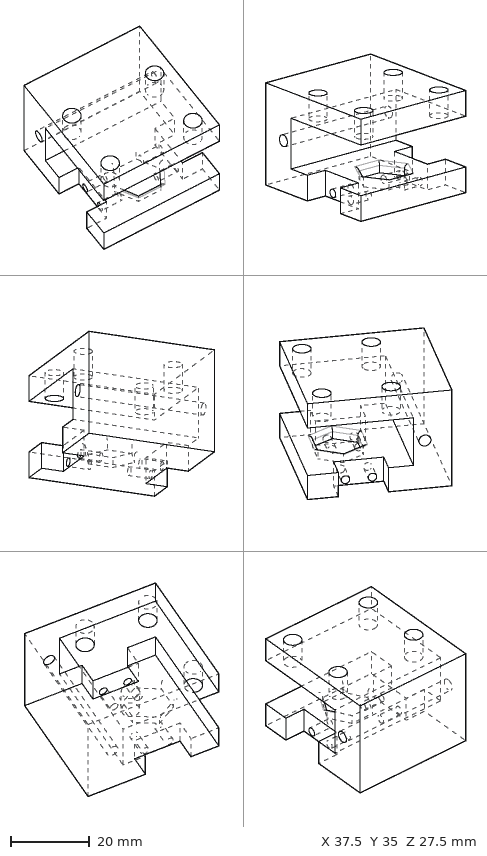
import cadquery as cq
import math

length = 37.5
width = 35.0
height = 27.5
arm_thickness = 6.95
spine_thickness = 10.0
middle_y = width / 2

arm_hole_diameter = 4.7
arm_hole_left_x = 14.75
arm_hole_spacing = 18
arm_hole_edge = 5.0

cross_hole_diameter = 3.1
cross_hole_x = 7.0

notch_left_x = 16.45
notch_length = 13.0
notch_depth = 6
pin_diameter = 2.2
pin_left_x = 19.4
pin_spacing = 7.0
pin_z = 1.5
pin_depth = 6

hex_x = 26.0
hex_flats = 11.78
hex_depth = 3
rim_radius = 1.0


def box(x_size, y_size, z_size, corner):
    return cq.Workplane("XY").box(x_size, y_size, z_size, centered=False).translate(corner)


def cylinder_along_y(diameter, depth, x, y, z):
    axis = cq.Vector(0, 1, 0)
    return cq.Workplane(cq.Solid.makeCylinder(diameter / 2, depth, cq.Vector(x, y, z), axis))


def make_body():
    block = box(length, width, height, (0, 0, 0))
    gap_size = (length - spine_thickness, width, height - 2 * arm_thickness)
    return block.cut(box(*gap_size, (spine_thickness, 0, arm_thickness)))


def cut_hex_pocket(body):
    hex_corners = hex_flats / math.cos(math.pi / 6)
    floor_z = arm_thickness - hex_depth
    pocket = (
        cq.Workplane("XY")
        .polygon(6, hex_corners)
        .extrude(hex_depth)
        .rotate((0, 0, 0), (0, 0, 1), 30)
        .translate((hex_x, middle_y, floor_z))
    )
    reach = hex_corners / 2
    on_rim = cq.selectors.BoxSelector(
        (hex_x - reach, middle_y - reach, arm_thickness - rim_radius),
        (hex_x + reach, middle_y + reach, height / 2),
    )
    return body.cut(pocket).edges(on_rim).fillet(rim_radius)


def cut_arm_holes(body):
    for x in (arm_hole_left_x, arm_hole_left_x + arm_hole_spacing):
        for y in (arm_hole_edge, width - arm_hole_edge):
            hole = cq.Workplane("XY").circle(arm_hole_diameter / 2).extrude(arm_thickness)
            body = body.cut(hole.translate((x, y, height - arm_thickness)))
    return body


def cut_notches(body):
    for y in (0, width - notch_depth):
        notch = box(notch_length, notch_depth, arm_thickness, (notch_left_x, y, 0))
        body = body.cut(notch)
    for x in (pin_left_x, pin_left_x + pin_spacing):
        for y in (notch_depth, width - notch_depth - pin_depth):
            body = body.cut(cylinder_along_y(pin_diameter, pin_depth, x, y, pin_z))
    return body


result = make_body()
result = cut_hex_pocket(result)
result = cut_arm_holes(result)
result = result.cut(cylinder_along_y(cross_hole_diameter, width, cross_hole_x, 0, height / 2))
result = cut_notches(result)